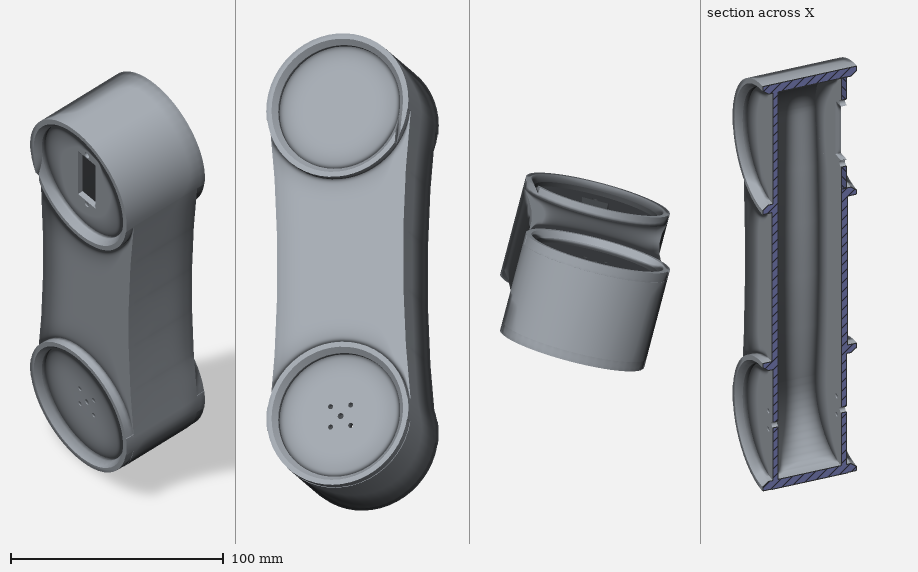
import cadquery as cq
import math

LENGTH = 220.0
WIDTH = 48.5
END_RADIUS = 35.0
SLAB_WIDTH = 39.2
WAIST_RADIUS = 660.0
FLANGE_RADIUS = 34.8
UPPER_BAND_DROP = 4.5
LOWER_BAND = 5.5

DISH_RADIUS = 60.0 / 2
DISH_MOUTH_RADIUS = 32.3
DISH_DEPTH = 5.3
TAPER_DEPTH = 3.0
GROOVE_START_GAP = 0.05

PLATE_THICKNESS = 2.9
WINDOW_WIDTH = 12.8
WINDOW_HEIGHT = 29.0
SCREW_DIAMETER = 3.0
SCREW_SPACING = 33.0
CENTER_HOLE_DIAMETER = 2.9
CORNER_HOLE_DIAMETER = 2.5
CORNER_HOLE_SPACING = 10.0

CENTER_Z = LENGTH / 2 - END_RADIUS
WALL = END_RADIUS - DISH_RADIUS
MOUTH_WALL = END_RADIUS - DISH_MOUTH_RADIUS
WAIST_CENTER_X = math.sqrt((WAIST_RADIUS + END_RADIUS) ** 2 - CENTER_Z ** 2)
TANGENT_ANGLE = math.asin(CENTER_Z / (WAIST_RADIUS + END_RADIUS))
FLOOR_Y = WIDTH / 2 - DISH_DEPTH
CAVITY_WIDTH = 2 * (FLOOR_Y - PLATE_THICKNESS)


def cylinder(radius, width, z):
    """Cylinder along Y, centred on the plane Y = 0."""
    return cq.Workplane("XZ").center(0, z).circle(radius).extrude(width / 2, both=True)


def box_between(z_low, z_high):
    """Block wider than the part, between two heights."""
    return cq.Workplane("XY").workplane(offset=z_low).rect(LENGTH, LENGTH).extrude(z_high - z_low)


def arm_outline(width, inset):
    """Two round ends joined by concave tangent sides, all moved inward by the inset."""
    end_radius = END_RADIUS - inset
    tangent_x = end_radius * math.cos(TANGENT_ANGLE)
    tangent_z = CENTER_Z - end_radius * math.sin(TANGENT_ANGLE)
    waist_x = WAIST_CENTER_X - WAIST_RADIUS - inset
    end_z = CENTER_Z + end_radius
    return (
        cq.Workplane("XZ")
        .moveTo(tangent_x, -tangent_z)
        .threePointArc((waist_x, 0), (tangent_x, tangent_z))
        .threePointArc((0, end_z), (-tangent_x, tangent_z))
        .threePointArc((-waist_x, 0), (-tangent_x, -tangent_z))
        .threePointArc((0, -end_z), (tangent_x, -tangent_z))
        .close()
        .extrude(width / 2, both=True)
    )


def round_end(z, band_low, band_high):
    """Full-width end: a rim cylinder with a slightly larger band between two heights."""
    band = cylinder(END_RADIUS, WIDTH, z).intersect(box_between(band_low, band_high))
    return cylinder(FLANGE_RADIUS, WIDTH, z).union(band)


def dish(z):
    """Cutter for one -Y recess: a tapered mouth above a straight wall."""
    profile = [
        (0, -WIDTH / 2),
        (DISH_MOUTH_RADIUS, -WIDTH / 2),
        (DISH_RADIUS, TAPER_DEPTH - WIDTH / 2),
        (DISH_RADIUS, -FLOOR_Y),
        (0, -FLOOR_Y),
    ]
    return cq.Workplane("XY").polyline(profile).close().revolve(360, (0, 0), (0, 1)).translate((0, 0, z))


def rim_groove():
    """Cutter for the -X groove in the upper -Y rim: one sloping side, along the concave side."""
    side_x = WAIST_RADIUS - WAIST_CENTER_X
    profile = [
        (side_x + MOUTH_WALL, -WIDTH / 2),
        (side_x + WALL, -WIDTH / 2),
        (side_x + WALL, TAPER_DEPTH - WIDTH / 2),
    ]
    return (
        cq.Workplane("XY")
        .polyline(profile)
        .close()
        .revolve(math.degrees(TANGENT_ANGLE) - GROOVE_START_GAP, (-WAIST_CENTER_X, 0), (-WAIST_CENTER_X, -1))
    )


def both_faces(cutter):
    """The cutter together with its mirror image on the +Y face."""
    return cutter.union(cutter.mirror("XZ"))


def plate_disc():
    """Disc that closes the upper -Y opening, flush with the recess floor."""
    disc = cq.Workplane("XZ", origin=(0, PLATE_THICKNESS - FLOOR_Y, CENTER_Z))
    return disc.circle(DISH_RADIUS).extrude(PLATE_THICKNESS)


def make_arm():
    """Hollow arm with dished round ends, open where the mounting plate sits."""
    upper_end = round_end(CENTER_Z, CENTER_Z - UPPER_BAND_DROP, LENGTH / 2)
    lower_end = round_end(-CENTER_Z, -CENTER_Z - LOWER_BAND, -CENTER_Z + LOWER_BAND)
    arm = arm_outline(SLAB_WIDTH, 0).union(upper_end).union(lower_end)
    for z in (CENTER_Z, -CENTER_Z):
        arm = arm.cut(both_faces(dish(z)))
    arm = arm.cut(both_faces(rim_groove()))
    arm = arm.cut(arm_outline(CAVITY_WIDTH, WALL).union(plate_disc()))

    arm = arm.cut(cylinder(CENTER_HOLE_DIAMETER / 2, WIDTH, -CENTER_Z))
    corners = (
        cq.Workplane("XZ")
        .center(0, -CENTER_Z)
        .rarray(CORNER_HOLE_SPACING, CORNER_HOLE_SPACING, 2, 2)
        .circle(CORNER_HOLE_DIAMETER / 2)
        .extrude(WIDTH / 2, both=True)
    )
    return arm.cut(corners)


def make_mounting_plate():
    """Round plate with a rectangular window and a screw hole above and below it."""
    through = cq.Workplane("XZ").center(0, CENTER_Z)
    window = through.rect(WINDOW_WIDTH, WINDOW_HEIGHT).extrude(WIDTH / 2)
    screws = through.rarray(2.2, SCREW_SPACING, 1, 2).circle(SCREW_DIAMETER / 2).extrude(WIDTH / 2)
    return plate_disc().cut(window).cut(screws)


arm = make_arm()
mounting_plate = make_mounting_plate()
result = cq.Compound.makeCompound([arm.solids().val(), mounting_plate.solids().val()])